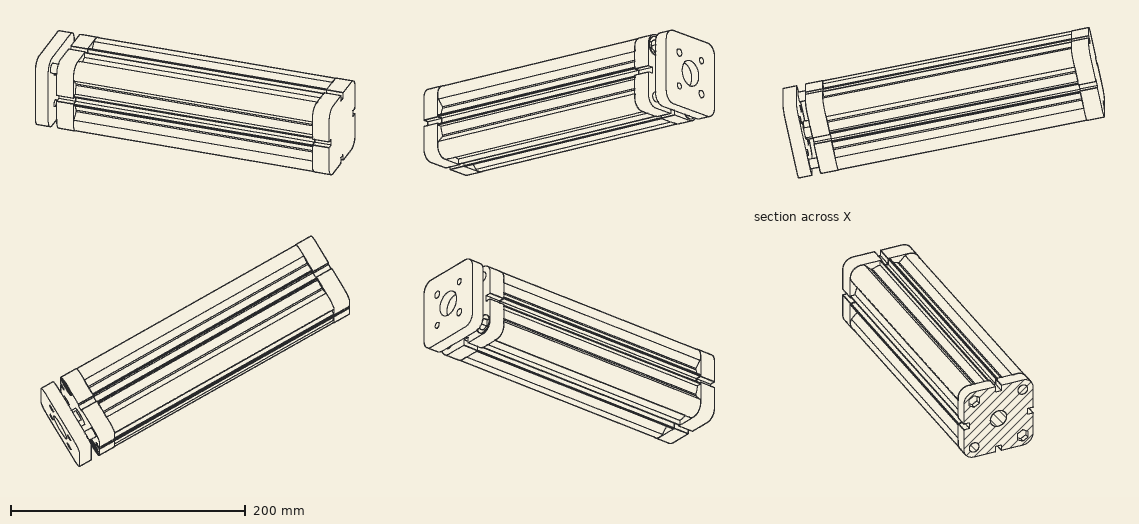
import cadquery as cq
import math

LENGTH = 266.5
SIDE = 65.5
CORNER_RADIUS = 9.9
CORNER_OFFSET = SIDE / 2 - CORNER_RADIUS
QUARTER_TURNS = (0, 90, 180, 270)

PLATE_THICKNESS = 11.7
POCKET_DIAMETER = 22.5
POCKET_DEPTH = 7.7
PLATE_HOLE_OFFSET = 15.0
THREAD_DIAMETER = 6.5
PIN_HOLE_DIAMETER = 5.3

CAP_START = 19.5
CAP_THICKNESS = 15.2
BARREL_START = CAP_START + CAP_THICKNESS
BARREL_LENGTH = LENGTH - CAP_THICKNESS - BARREL_START

BARREL_INSET = 0.3
BARREL_HEIGHT = SIDE / 2 - BARREL_INSET
BULB_RADIUS = CORNER_RADIUS - BARREL_INSET
BULB_HALF_WIDTH = 19.0
VALLEY_OUTER = 13.3
VALLEY_INNER = 12.0
VALLEY_HEIGHT = 26.0
BULGE_RADIUS = math.hypot(VALLEY_HEIGHT, VALLEY_INNER)
LEDGE_HALF_WIDTH = 6.0
LIP_HALF_WIDTH = 4.5

CAP_SLOT_WIDTH = 5.3
CAP_SLOT_DEPTH = 5.3
CAP_SLOT_CHAMFER = 0.3
BARREL_SLOT_WIDTH = 6.5
BARREL_SLOT_DEPTH = 5.9
BARREL_SLOT_CHAMFER = 0.5

SCREW_RECESS_DIAMETER = 16.5
SCREW_RECESS_DEPTH = 0.8
SOCKET_ACROSS_FLATS = 9.5
SOCKET_DEPTH = 8.0

ROD_DIAMETER = 16.0
ROD_CHAMFER = 0.8
FLAT_SPACING = 13.0
FLAT_END = 18.0
GUIDE_DIAMETER = 8.5
ROD_LENGTH = BARREL_START - PLATE_THICKNESS


def diagonal_pair(offset, sign):
    """Two opposite (Y, Z) corners of a square; sign +1 has Y equal to Z, -1 has Y opposite Z."""
    return [(offset, sign * offset), (-offset, -sign * offset)]


CENTRE = [(0, 0)]
SCREW_CENTRES = diagonal_pair(CORNER_OFFSET, 1)
GUIDE_CENTRES = diagonal_pair(CORNER_OFFSET, -1)


def section(x):
    """Sketch plane at station x: local axes are Y and Z, extrusion goes toward +X."""
    return cq.Workplane("YZ", origin=(x, 0, 0))


def rounded_bar(start, length, side, radius):
    return section(start).rect(side, side).extrude(length).edges("|X").fillet(radius)


def cylinders(start, length, centres, diameter):
    return section(start).pushPoints(centres).circle(diameter / 2).extrude(length)


def make_plate():
    plate = rounded_bar(0, PLATE_THICKNESS, SIDE, CORNER_RADIUS)
    plate = plate.cut(cylinders(0, POCKET_DEPTH, CENTRE, POCKET_DIAMETER))
    threads = diagonal_pair(PLATE_HOLE_OFFSET, 1)
    plate = plate.cut(cylinders(0, PLATE_THICKNESS, threads, THREAD_DIAMETER))
    pin_holes = diagonal_pair(PLATE_HOLE_OFFSET, -1)
    return plate.cut(cylinders(0, PLATE_THICKNESS, pin_holes, PIN_HOLE_DIAMETER))


def make_piston_rod():
    """Rod butting against the plate, with two wrench flats facing up and down."""
    rod = cylinders(PLATE_THICKNESS, ROD_LENGTH, CENTRE, ROD_DIAMETER)
    rod = rod.faces("<X").chamfer(ROD_CHAMFER)
    centre_height = (FLAT_SPACING + ROD_DIAMETER) / 2
    blanks = section(PLATE_THICKNESS).pushPoints([(0, centre_height), (0, -centre_height)])
    return rod.cut(blanks.rect(ROD_DIAMETER, ROD_DIAMETER).extrude(FLAT_END - PLATE_THICKNESS))


def make_guide_rod(centre):
    return cylinders(PLATE_THICKNESS, ROD_LENGTH, [centre], GUIDE_DIAMETER)


def bulge_point(half_width):
    """Point on the round bore wall of the +Z side at the given distance from its middle."""
    return (half_width, math.sqrt(BULGE_RADIUS**2 - half_width**2))


def mirrored(point):
    return (-point[0], point[1])


def quarter_turned(point, turns):
    """Point of the +Z side carried to another side, going from +Z to +Y to -Z to -Y."""
    y, z = point
    for _ in range(turns):
        y, z = z, -y
    return (y, z)


def make_barrel():
    """Extruded section: on each side a slot between lips, the bore bulge, valleys and corner bulbs."""
    slot_half = BARREL_SLOT_WIDTH / 2
    slot_bottom = (slot_half, BARREL_HEIGHT - BARREL_SLOT_DEPTH)
    slot_shoulder = (slot_half, BARREL_HEIGHT - BARREL_SLOT_CHAMFER)
    slot_mouth = (slot_half + BARREL_SLOT_CHAMFER, BARREL_HEIGHT)
    ledge = bulge_point(LEDGE_HALF_WIDTH)
    lip_top = (LIP_HALF_WIDTH, BARREL_HEIGHT)
    lip_foot = (LIP_HALF_WIDTH, ledge[1])
    bulge_middle = bulge_point((LEDGE_HALF_WIDTH + VALLEY_INNER) / 2)
    valley_inner = (VALLEY_INNER, VALLEY_HEIGHT)
    valley_outer = (VALLEY_OUTER, VALLEY_HEIGHT)
    bulb_rise = math.sqrt(BULB_RADIUS**2 - (CORNER_OFFSET - BULB_HALF_WIDTH) ** 2)
    bulb_end = (BULB_HALF_WIDTH, CORNER_OFFSET + bulb_rise)
    bulb_tip = (CORNER_OFFSET + BULB_RADIUS / math.sqrt(2),) * 2

    lip_and_slot = [lip_foot, lip_top, slot_mouth, slot_shoulder, slot_bottom]
    across_slot = [mirrored(point) for point in lip_and_slot] + lip_and_slot[::-1] + [ledge]

    outline = section(BARREL_START).moveTo(*mirrored(bulb_end))
    for turns in range(len(QUARTER_TURNS)):

        def place(point):
            return quarter_turned(point, turns)

        outline = outline.lineTo(*place(mirrored(valley_outer))).lineTo(*place(mirrored(valley_inner)))
        outline = outline.threePointArc(place(mirrored(bulge_middle)), place(mirrored(ledge)))
        for point in across_slot:
            outline = outline.lineTo(*place(point))
        outline = outline.threePointArc(place(bulge_middle), place(valley_inner))
        outline = outline.lineTo(*place(valley_outer)).lineTo(*place(bulb_end))
        outline = outline.threePointArc(place(bulb_tip), place((bulb_end[1], bulb_end[0])))
    return outline.close().extrude(BARREL_LENGTH)


def make_cap_slot(start):
    """Slot tool for the +Z side of a cap, with a chamfered mouth."""
    half = CAP_SLOT_WIDTH / 2
    mouth = half + CAP_SLOT_CHAMFER
    top = SIDE / 2
    floor = top - CAP_SLOT_DEPTH
    shoulder = top - CAP_SLOT_CHAMFER
    outline = [(-half, floor), (half, floor), (half, shoulder), (mouth, top), (-mouth, top), (-half, shoulder)]
    return section(start).polyline(outline).close().extrude(CAP_THICKNESS)


def make_cap(start):
    cap = rounded_bar(start, CAP_THICKNESS, SIDE, CORNER_RADIUS)
    slot = make_cap_slot(start)
    for turn in QUARTER_TURNS:
        cap = cap.cut(slot.rotate((0, 0, 0), (1, 0, 0), turn))
    return cap


def cut_screw_heads(cap):
    """Shallow round recess with a hexagon socket, two flats of it square to Y."""
    cap = cap.cut(cylinders(CAP_START, SCREW_RECESS_DEPTH, SCREW_CENTRES, SCREW_RECESS_DIAMETER))
    half_flat = SOCKET_ACROSS_FLATS / 2
    socket_radius = SOCKET_ACROSS_FLATS / math.sqrt(3)
    upper_half = [(half_flat, socket_radius / 2), (0, socket_radius), (-half_flat, socket_radius / 2)]
    hexagon = upper_half + [(-y, -z) for y, z in upper_half]
    socket = section(CAP_START).polyline(hexagon).close().extrude(SOCKET_DEPTH)
    for y, z in SCREW_CENTRES:
        cap = cap.cut(socket.translate((0, y, z)))
    return cap


def make_housing():
    front_cap = cut_screw_heads(make_cap(CAP_START))
    front_cap = front_cap.cut(cylinders(CAP_START, CAP_THICKNESS, CENTRE, ROD_DIAMETER))
    front_cap = front_cap.cut(cylinders(CAP_START, CAP_THICKNESS, GUIDE_CENTRES, GUIDE_DIAMETER))
    rear_cap = make_cap(LENGTH - CAP_THICKNESS)
    return make_barrel().union(front_cap).union(rear_cap).solids()


plate = make_plate()
piston_rod = make_piston_rod()
housing = make_housing()
guide_rods = [make_guide_rod(centre) for centre in GUIDE_CENTRES]

result = cq.Compound.makeCompound(
    [plate.val(), piston_rod.val(), housing.val()] + [rod.val() for rod in guide_rods]
)